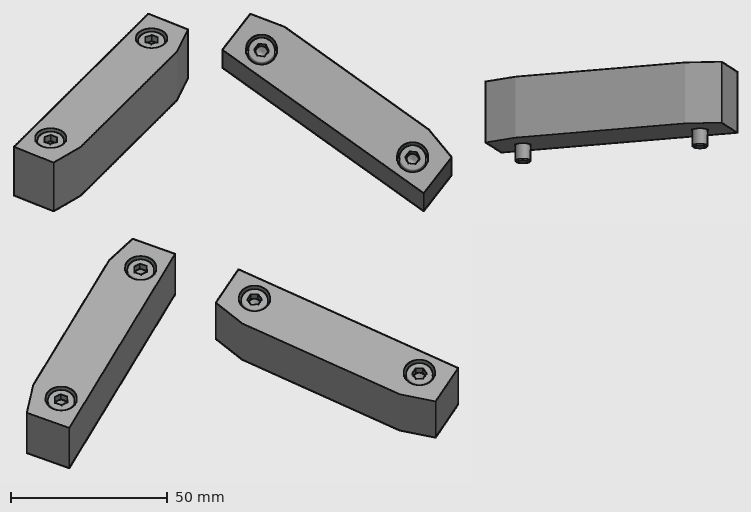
import cadquery as cq
import math

bar_width = 18.0
bar_length = 80.0
bar_height = 20.0
corner_cut_width = 3.0
corner_cut_angle = 15.0
corner_cut_length = corner_cut_width / math.tan(math.radians(corner_cut_angle))

screw_x = 7.5
screw_end_distance = 10.0
screw_centers = [(screw_x, screw_end_distance), (screw_x, bar_length - screw_end_distance)]

counterbore_diameter = 10.0
counterbore_depth = 5.5
clearance_diameter = 5.1

head_diameter = 8.5
head_height = 5.0
head_fillet = 0.4
shank_diameter = 5.0
shank_length = 20.0
tip_chamfer = 0.5
socket_across_flats = 4.0
socket_depth = 2.5
socket_cone_angle = 120.0


def make_bar():
    """Rectangular bar with its two +X corners cut at a shallow angle."""
    cut_x = bar_width - corner_cut_width
    outline = [
        (0, 0),
        (cut_x, 0),
        (bar_width, corner_cut_length),
        (bar_width, bar_length - corner_cut_length),
        (cut_x, bar_length),
        (0, bar_length),
    ]
    bar = cq.Workplane("XY").polyline(outline).close().extrude(bar_height)
    return (
        bar.faces(">Z").workplane(origin=(0, 0, bar_height))
        .pushPoints(screw_centers)
        .cboreHole(clearance_diameter, counterbore_diameter, counterbore_depth)
    )


def make_socket():
    """Hexagonal socket below Z = head_height, ending in a cone."""
    corner_radius = socket_across_flats / math.sqrt(3)
    cone_radius = socket_across_flats / 2
    cone_depth = cone_radius / math.tan(math.radians(socket_cone_angle / 2))
    floor_z = head_height - socket_depth
    hexagon = (
        cq.Workplane("XY").workplane(offset=floor_z)
        .polygon(6, 2 * corner_radius)
        .extrude(socket_depth)
    )
    cone = cq.Workplane(
        cq.Solid.makeCone(
            cone_radius, 0, cone_depth, cq.Vector(0, 0, floor_z), cq.Vector(0, 0, -1)
        )
    )
    return hexagon.union(cone)


def make_screw():
    """Screw on the Z axis with the underside of its head at Z = 0."""
    head = cq.Workplane("XY").circle(head_diameter / 2).extrude(head_height)
    head = head.faces(">Z").edges().fillet(head_fillet)
    shank = cq.Workplane("XY").circle(shank_diameter / 2).extrude(-shank_length)
    shank = shank.faces("<Z").edges().chamfer(tip_chamfer)
    return head.union(shank).cut(make_socket())


result = make_bar()
screw = make_screw()
for center_x, center_y in screw_centers:
    result = result.union(screw.translate((center_x, center_y, bar_height - counterbore_depth)))